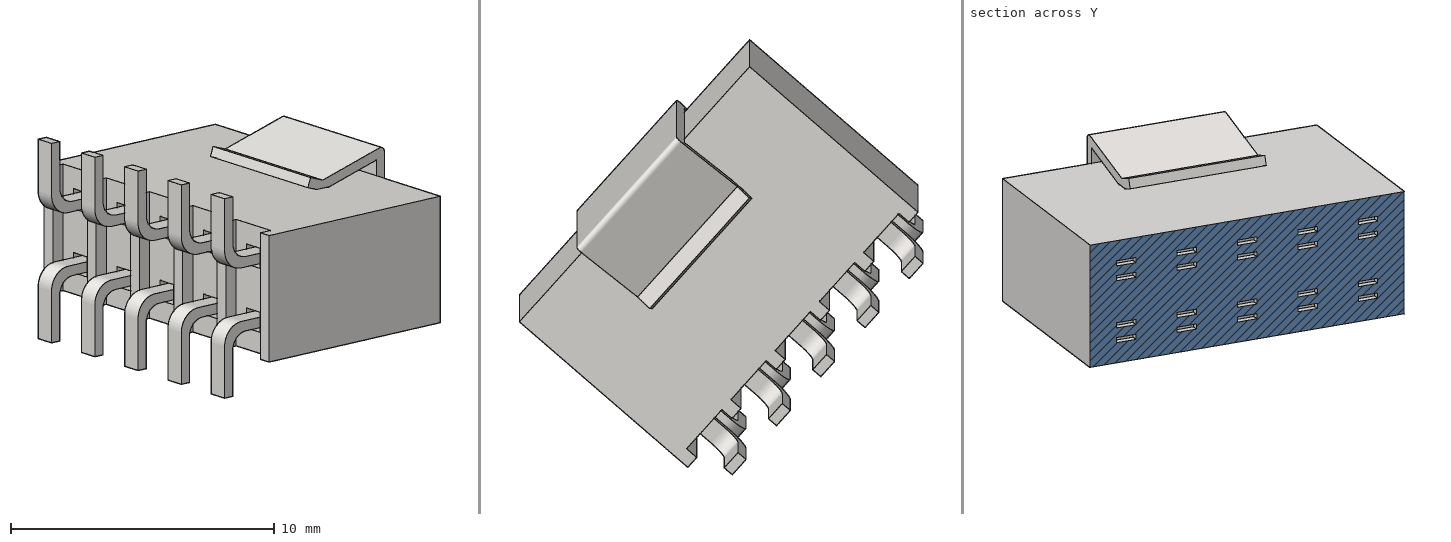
import cadquery as cq
import math


housing_width = 13.21
housing_depth = 8.53
housing_height = 4.99
rib_width = 0.52
bay_depth = 0.52

pin_columns = 5
pin_pitch = (housing_width - rib_width) / pin_columns
pin_width = 0.79
pin_thickness = 0.41
pin_reach = 1.25
pin_tip_height = 3.94
pin_leg_bottom = 1.06
pin_inner_radius = 0.65
pin_outer_radius = 0.83

pocket_size = pin_width
pocket_depth = 0.5

clip_width = 5.72
clip_thickness = 0.4
clip_corner_radius = 0.2
bend_distance = 3.08
bend_height = 2.81
arm_angle = math.radians(15)
tip_angle = math.radians(19)
tip_length = 0.65

pin_xs = [(i - (pin_columns - 1) / 2) * pin_pitch for i in range(pin_columns)]
clip_back = housing_depth + clip_thickness


def extrude_along_x(profile, width, x_center):
    """Extrude a profile drawn in the YZ plane, centred on x_center."""
    return profile.extrude(width / 2, both=True).translate((x_center, 0, 0))


def make_housing_block():
    """Block with a full-height bay in its front for each pin pair, leaving ribs between the bays."""
    block = cq.Workplane("XY").box(housing_width, housing_depth, housing_height, centered=(True, False, True))
    bay_width = pin_pitch - rib_width
    for x in pin_xs:
        bay = cq.Workplane("XY").box(bay_width, bay_depth, housing_height, centered=(True, False, True))
        block = block.cut(bay.translate((x, 0, 0)))
    return block


def make_pocket(x):
    """Upper-row pocket, centred on the horizontal leg of its pin."""
    leg_center = pin_leg_bottom + pin_thickness / 2
    pocket = cq.Workplane("XY").box(pocket_size, pocket_depth, pocket_size, centered=(True, False, True))
    return pocket.translate((x, bay_depth, leg_center))


def make_pin(x):
    """Upper-row pin: a leg out of the pocket floor, bent up in front of the housing."""
    root_y = bay_depth + pocket_depth
    outer_y = -pin_reach
    inner_y = outer_y + pin_thickness
    leg_top = pin_leg_bottom + pin_thickness
    inner_center_y = inner_y + pin_inner_radius
    inner_center_z = leg_top + pin_inner_radius
    outer_center_y = outer_y + pin_outer_radius
    outer_center_z = pin_leg_bottom + pin_outer_radius
    diagonal = math.sqrt(0.5)
    inner_middle = (inner_center_y - pin_inner_radius * diagonal, inner_center_z - pin_inner_radius * diagonal)
    outer_middle = (outer_center_y - pin_outer_radius * diagonal, outer_center_z - pin_outer_radius * diagonal)
    profile = (
        cq.Workplane("YZ")
        .moveTo(root_y, pin_leg_bottom)
        .lineTo(outer_center_y, pin_leg_bottom)
        .threePointArc(outer_middle, (outer_y, outer_center_z))
        .lineTo(outer_y, pin_tip_height)
        .lineTo(inner_y, pin_tip_height)
        .lineTo(inner_y, inner_center_z)
        .threePointArc(inner_middle, (inner_center_y, leg_top))
        .lineTo(root_y, leg_top)
        .close()
    )
    return extrude_along_x(profile, pin_width, x)


def make_clip():
    """Strip across the back of the housing with a sloping arm and a turned-out tip above and below."""
    bend_y = clip_back - bend_distance
    arm_drop = clip_thickness / math.cos(arm_angle)
    tip_drop = clip_thickness / math.cos(tip_angle)
    arm_slope = math.tan(arm_angle)
    corner_z = bend_height + bend_distance * arm_slope
    inner_corner_z = corner_z - clip_thickness * arm_slope - arm_drop

    shift = (tip_drop - arm_drop) / (arm_slope + math.tan(tip_angle))
    under_bend = (bend_y - shift, bend_height - tip_drop + shift * math.tan(tip_angle))

    tip_top_y = bend_y - tip_length * math.cos(tip_angle)
    tip_top_z = bend_height + tip_length * math.sin(tip_angle)
    tip_under_y = tip_top_y - clip_thickness * math.sin(tip_angle)
    tip_under_z = tip_top_z - clip_thickness * math.cos(tip_angle)

    upper_outline = [
        (clip_back, corner_z),
        (bend_y, bend_height),
        (tip_top_y, tip_top_z),
        (tip_under_y, tip_under_z),
        under_bend,
        (housing_depth, inner_corner_z),
    ]
    lower_outline = [(y, -z) for y, z in reversed(upper_outline)]
    profile = cq.Workplane("YZ").polyline(upper_outline + lower_outline).close()
    clip = extrude_along_x(profile, clip_width, 0)
    return clip.faces(">Y").edges("|X").fillet(clip_corner_radius)


clip = make_clip()

housing = make_housing_block()
for x in pin_xs:
    upper_pocket = make_pocket(x)
    upper_pin = make_pin(x)
    housing = housing.cut(upper_pocket).cut(upper_pocket.mirror("XY"))
    housing = housing.union(upper_pin).union(upper_pin.mirror("XY"))
housing = housing.cut(clip)

result = cq.Compound.makeCompound([housing.val(), clip.val()])